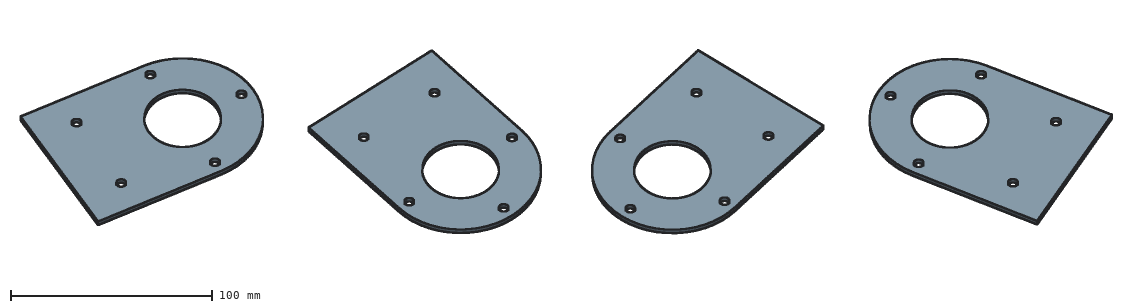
import cadquery as cq

plate_length = 110.0
plate_width = 80.0
plate_thickness = 2.8
bore_diameter = 38.2
screw_hole_diameter = 5.0
bolt_circle_radius = 33.3
lower_hole_spacing = 46.0
lower_hole_drop = 47.5

end_radius = plate_width / 2
straight_length = plate_length - end_radius

screw_hole_centers = [
    (-bolt_circle_radius, 0),
    (0, bolt_circle_radius),
    (bolt_circle_radius, 0),
    (-lower_hole_spacing / 2, -lower_hole_drop),
    (lower_hole_spacing / 2, -lower_hole_drop),
]

plate = (
    cq.Workplane("XY")
    .moveTo(-end_radius, -straight_length)
    .lineTo(end_radius, -straight_length)
    .lineTo(end_radius, 0)
    .threePointArc((0, end_radius), (-end_radius, 0))
    .close()
    .extrude(plate_thickness)
)

bore = cq.Workplane("XY").circle(bore_diameter / 2).extrude(plate_thickness)
screw_holes = (
    cq.Workplane("XY")
    .pushPoints(screw_hole_centers)
    .circle(screw_hole_diameter / 2)
    .extrude(plate_thickness)
)

result = plate.cut(bore).cut(screw_holes)